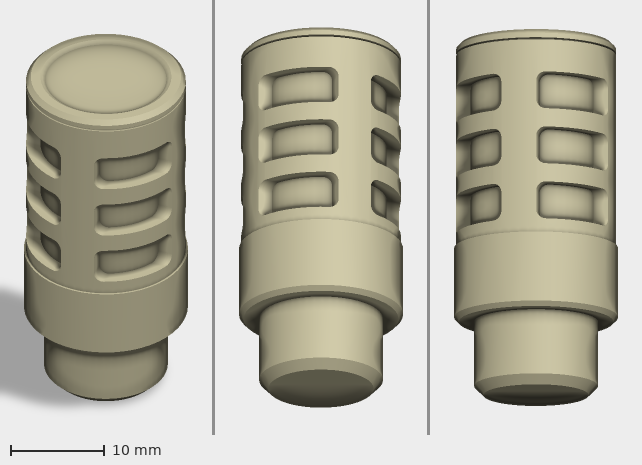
import cadquery as cq

total_height = 38.2
stem_radius = 6.6
stem_height = 8.0
stem_chamfer = 1.0
collar_radius = 8.75
collar_top = 16.0
edge_chamfer = 0.5
body_radius = 8.5

cap_height = 1.0
groove_width = 0.23
groove_depth = 0.57

dish_radius = 7.0
dish_floor_radius = 6.45
dish_depth = 0.3

core_radius = 7.0
rib_width = 3.82
window_height = 4.0
window_pitch = 6.0
window_rows = 3
window_corner = 1.0
window_gap = 1.5
first_window_bottom = collar_top + window_gap


def turned_body():
    """Revolved outline of the stem, collar, body, groove and dished cap."""
    groove_top = total_height - cap_height
    groove_bottom = groove_top - groove_width
    groove_radius = body_radius - groove_depth
    outline = [
        (0, 0),
        (stem_radius - stem_chamfer, 0),
        (stem_radius, stem_chamfer),
        (stem_radius, stem_height),
        (collar_radius - edge_chamfer, stem_height),
        (collar_radius, stem_height + edge_chamfer),
        (collar_radius, collar_top),
        (body_radius, collar_top),
        (body_radius, groove_bottom),
        (groove_radius, groove_bottom),
        (groove_radius, groove_top),
        (body_radius, groove_top),
        (body_radius, total_height - edge_chamfer),
        (body_radius - edge_chamfer, total_height),
        (dish_radius, total_height),
        (dish_floor_radius, total_height - dish_depth),
        (0, total_height - dish_depth),
    ]
    return cq.Workplane("XZ").polyline(outline).close().revolve(360, (0, 0), (0, 1))


def window_row(bottom):
    """Cutter for one row: a square block in each quadrant, less the core."""
    block_size = collar_radius
    block_offset = (rib_width + block_size) / 2
    row = (
        cq.Workplane("XY", origin=(0, 0, bottom))
        .rect(2 * block_offset, 2 * block_offset, forConstruction=True)
        .vertices()
        .rect(block_size, block_size)
        .extrude(window_height)
    )
    inner_x = cq.selectors.BoxSelector(
        (-rib_width, -2 * block_size, 0), (rib_width, 2 * block_size, total_height)
    )
    inner_y = cq.selectors.BoxSelector(
        (-2 * block_size, -rib_width, 0), (2 * block_size, rib_width, total_height)
    )
    rounded_edges = row.edges("|Y").edges(inner_x).add(row.edges("|X").edges(inner_y))
    row = row.newObject(rounded_edges.vals()).fillet(window_corner)
    core = cq.Workplane("XY", origin=(0, 0, bottom)).circle(core_radius).extrude(window_height)
    return row.cut(core)


result = turned_body()
for row_index in range(window_rows):
    result = result.cut(window_row(first_window_bottom + row_index * window_pitch))